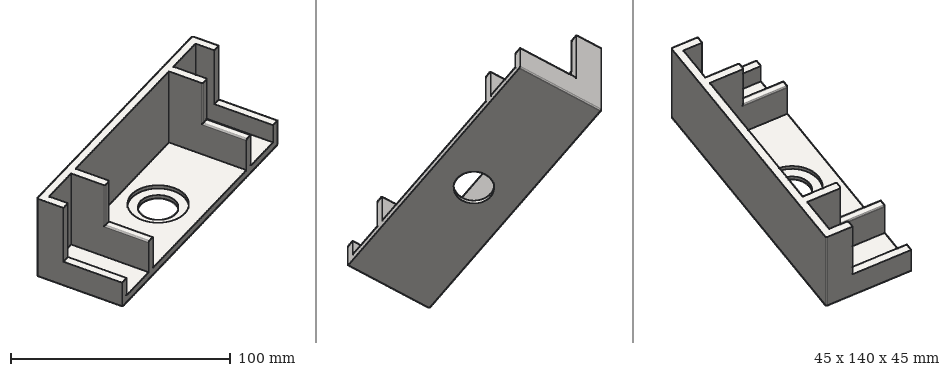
import cadquery as cq

length = 140.0
leg = 45.0
wall = 4.0
edge_radius = 0.7

end_plate_width = 14.0
rib_width = 21.8
rib_thickness = 4.0
rib_outer_face = length / 2 - 24.0

hole_diameter = 18.5
recess_diameter = 28.0
recess_depth = 2.0
hole_x = 23.0


def l_plate(width, y_start, thickness):
    """L-shaped plate in the XZ plane, extending from y_start toward +Y."""
    outline = [(0, 0), (leg, 0), (leg, width), (width, width), (width, leg), (0, leg)]
    return (
        cq.Workplane("XZ", origin=(0, y_start, 0))
        .polyline(outline)
        .close()
        .extrude(-thickness)
    )


def rib(y_start):
    """Dividing rib with its inner edges rounded along both of its faces."""
    plate = l_plate(rib_width, y_start, rib_thickness)
    inner_edges = cq.selectors.BoxSelector(
        (rib_width - edge_radius, y_start - rib_thickness, rib_width - edge_radius),
        (leg - edge_radius, y_start + 2 * rib_thickness, leg - edge_radius),
    )
    return plate.edges("|X or |Z").edges(inner_edges).fillet(edge_radius)


def hole_cutter(diameter, z_start, depth):
    """Vertical cylinder on the hole axis, rising from z_start."""
    return cq.Workplane("XY", origin=(hole_x, 0, z_start)).circle(diameter / 2).extrude(depth)


body = l_plate(wall, -length / 2, length)
for y_start in (-length / 2, length / 2 - wall):
    body = body.union(l_plate(end_plate_width, y_start, wall))

for y_start in (-rib_outer_face, rib_outer_face - rib_thickness):
    body = body.union(rib(y_start))

body = body.edges("(<X and |Z) or (<Z and |X) or (<X and <Z)").fillet(edge_radius)

result = (
    body.cut(hole_cutter(hole_diameter, 0, wall))
    .cut(hole_cutter(recess_diameter, wall - recess_depth, recess_depth))
)